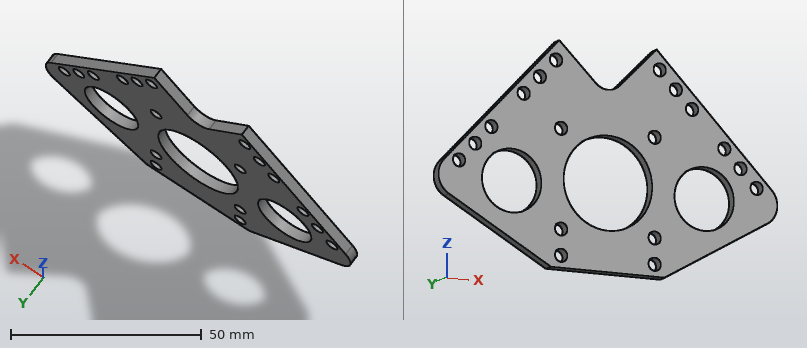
import cadquery as cq
import math

width = 97.7
height = 60.9
thickness = 3.1

corner_radius = 5.9
corner_z = 22.1
lower_angle = math.radians(30.0)
upper_angle = math.radians(46.3)
notch_angle = math.radians(45.0)
notch_bottom_z = 48.85
notch_radius = 4.9

center_bore_diameter = 25.5
center_bore_z = 23.8
side_bore_diameter = 17.1
side_bore_x = 27.7
side_bore_z = 22.1

hole_diameter = 3.5
mount_pitch = 27.0
base_hole_z = 3.3
row_start_x = 14.9
row_start_z = 55.5
row_pitch = 6.7
row_steps = (0, 1, 2, 4, 5, 6)


def plate():
    """Symmetric plate with rounded side corners and a rounded V notch on top."""
    corner_x = width / 2 - corner_radius
    lower_tangent = (
        corner_x + corner_radius * math.sin(lower_angle),
        corner_z - corner_radius * math.cos(lower_angle),
    )
    upper_tangent = (
        corner_x + corner_radius * math.sin(upper_angle),
        corner_z + corner_radius * math.cos(upper_angle),
    )
    base_x = lower_tangent[0] - lower_tangent[1] / math.tan(lower_angle)
    peak_x = upper_tangent[0] - (height - upper_tangent[1]) / math.tan(upper_angle)

    notch_tangent_x = notch_radius * math.sin(notch_angle)
    notch_tangent_z = notch_bottom_z + notch_radius * (1 - math.cos(notch_angle))

    return (
        cq.Workplane("XZ", origin=(0, thickness / 2, 0))
        .moveTo(-base_x, 0)
        .lineTo(base_x, 0)
        .lineTo(*lower_tangent)
        .threePointArc((width / 2, corner_z), upper_tangent)
        .lineTo(peak_x, height)
        .lineTo(notch_tangent_x, notch_tangent_z)
        .threePointArc((0, notch_bottom_z), (-notch_tangent_x, notch_tangent_z))
        .lineTo(-peak_x, height)
        .lineTo(-upper_tangent[0], upper_tangent[1])
        .threePointArc((-width / 2, corner_z), (-lower_tangent[0], lower_tangent[1]))
        .close()
        .extrude(thickness)
    )


def through_holes(points, diameter):
    """Cylinders that pass through the plate at the given (x, z) points."""
    back_plane = cq.Workplane("XZ", origin=(0, thickness / 2, 0))
    return back_plane.pushPoints(points).circle(diameter / 2).extrude(thickness)


def small_hole_points():
    """Mounting square, base pair and the hole row along each upper edge."""
    points = []
    for side in (-1, 1):
        mount_x = side * mount_pitch / 2
        points.append((mount_x, center_bore_z + mount_pitch / 2))
        points.append((mount_x, center_bore_z - mount_pitch / 2))
        points.append((mount_x, base_hole_z))
        for step in row_steps:
            distance = step * row_pitch
            x = row_start_x + distance * math.cos(upper_angle)
            z = row_start_z - distance * math.sin(upper_angle)
            points.append((side * x, z))
    return points


side_bore_points = [(-side_bore_x, side_bore_z), (side_bore_x, side_bore_z)]

result = (
    plate()
    .cut(through_holes([(0, center_bore_z)], center_bore_diameter))
    .cut(through_holes(side_bore_points, side_bore_diameter))
    .cut(through_holes(small_hole_points(), hole_diameter))
)